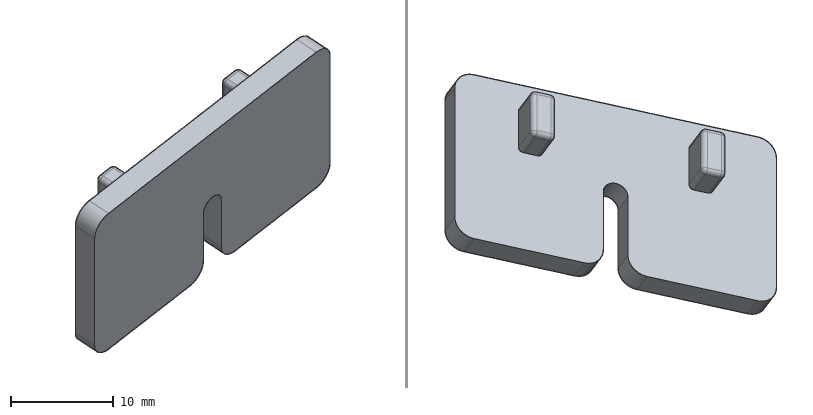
import cadquery as cq

plate_width = 34.0
plate_height = 19.0
plate_thickness = 2.6
corner_radius = 2.0

slot_width = 2.6
slot_depth = 10.0

peg_width = 2.5
peg_height = 5.2
peg_length = 3.5
peg_spacing = 18.02
peg_top_margin = 2.6
peg_edge_radius = 0.5

plate_bottom = -plate_height / 2
plate_top = plate_height / 2


def make_plate():
    """Flat plate with a round-ended slot; outer and slot-mouth corners are rounded."""
    half_width = plate_width / 2
    slot_radius = slot_width / 2
    slot_top = plate_bottom + slot_depth
    outline = (
        cq.Workplane("YZ")
        .moveTo(-half_width, plate_top)
        .lineTo(-half_width, plate_bottom)
        .lineTo(-slot_radius, plate_bottom)
        .lineTo(-slot_radius, slot_top - slot_radius)
        .threePointArc((0, slot_top), (slot_radius, slot_top - slot_radius))
        .lineTo(slot_radius, plate_bottom)
        .lineTo(half_width, plate_bottom)
        .lineTo(half_width, plate_top)
        .close()
    )
    plate = outline.extrude(plate_thickness)
    plate = plate.faces("<Z").edges("|X").fillet(corner_radius)
    return plate.faces(">Z").edges("|X").fillet(corner_radius)


def make_peg(center_y):
    """Rectangular peg with every edge rounded except those at its root."""
    center_z = plate_top - peg_top_margin - peg_height / 2
    peg = (
        cq.Workplane("YZ")
        .center(center_y, center_z)
        .rect(peg_width, peg_height)
        .extrude(-peg_length)
    )
    return peg.edges("|X or <X").fillet(peg_edge_radius)


result = make_plate()
for side in (-1, 1):
    result = result.union(make_peg(side * peg_spacing / 2))